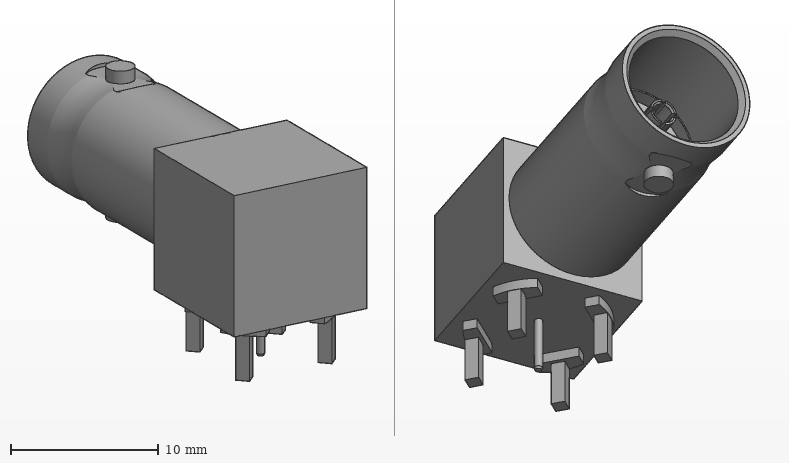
import cadquery as cq
import math

TOTAL_LENGTH = 27.9

HOUSING_SIZE = 10.51
HOUSING_TOP = 4.82
HOUSING_BOTTOM = -5.45
HOUSING_FRONT = TOTAL_LENGTH - HOUSING_SIZE
HOUSING_CENTER_X = TOTAL_LENGTH - HOUSING_SIZE / 2

BARREL_RADIUS = 4.82
MOUTH_RADIUS = 4.5
MOUTH_CHAMFER_LENGTH = 0.4
BORE_RADIUS = 4.13
BORE_LEDGE_X = 7.25
INNER_BORE_RADIUS = 4.02
BORE_FLOOR_X = 8.37

LUG_X = 4.2
LUG_RADIUS = 1.0
LUG_REACH = 5.5
GROOVE_WIDTH = 3.3
GROOVE_DEPTH = 0.17
SEAT_RADIUS = 2.55
SEAT_HEIGHT = 4.57

CONTACT_TIP_X = 3.45
CONTACT_RADIUS = 0.98
SOCKET_RADIUS = 0.7
SOCKET_MOUTH_RADIUS = 0.85
SOCKET_CHAMFER_LENGTH = SOCKET_MOUTH_RADIUS - SOCKET_RADIUS
SOCKET_DEPTH = 3.35
SOCKET_CONE_DEPTH = 0.4
SLOT_WIDTH = 0.3
SLOT_DEPTH = 2.23

PIN_TIP_Z = -9.48
PIN_LENGTH = HOUSING_BOTTOM - PIN_TIP_Z
LEG_OFFSET = 3.25
LEG_SIDE = 0.98
FOOT_WIDTH = 3.18
FOOT_TAIL = 0.75
FOOT_OUTER_RADIUS = 5.13
FOOT_HEIGHT = 0.75
SIGNAL_PIN_RADIUS = 0.59 / 2
SIGNAL_TIP_RADIUS = 0.22
SIGNAL_TIP_LENGTH = 0.17

AXIS_START = (0, 0, 0)
AXIS_END = (1, 0, 0)


def make_housing():
    height = HOUSING_TOP - HOUSING_BOTTOM
    return (
        cq.Workplane("XY", origin=(HOUSING_CENTER_X, 0, HOUSING_BOTTOM))
        .rect(HOUSING_SIZE, HOUSING_SIZE)
        .extrude(height)
    )


def make_barrel():
    """Solid barrel with a shallow arc-shaped groove around the lugs."""
    profile = (
        cq.Workplane("XY")
        .lineTo(0, BARREL_RADIUS)
        .lineTo(LUG_X - GROOVE_WIDTH / 2, BARREL_RADIUS)
        .threePointArc(
            (LUG_X, BARREL_RADIUS - GROOVE_DEPTH),
            (LUG_X + GROOVE_WIDTH / 2, BARREL_RADIUS),
        )
        .lineTo(HOUSING_FRONT, BARREL_RADIUS)
        .lineTo(HOUSING_FRONT, 0)
        .close()
    )
    return profile.revolve(360, AXIS_START, AXIS_END)


def make_bore():
    """Cutter for the chamfered, stepped socket bore."""
    profile = cq.Workplane("XY").polyline([
        (0, 0),
        (0, MOUTH_RADIUS),
        (MOUTH_CHAMFER_LENGTH, BORE_RADIUS),
        (BORE_LEDGE_X, BORE_RADIUS),
        (BORE_LEDGE_X, INNER_BORE_RADIUS),
        (BORE_FLOOR_X, INNER_BORE_RADIUS),
        (BORE_FLOOR_X, 0),
    ]).close()
    return profile.revolve(360, AXIS_START, AXIS_END)


def make_seat_cutter():
    """Disc that mills the flat seat around the upper lug."""
    return (
        cq.Workplane("XY", origin=(LUG_X, 0, SEAT_HEIGHT))
        .circle(SEAT_RADIUS)
        .extrude(BARREL_RADIUS - SEAT_HEIGHT)
    )


def make_lug():
    """Upper lug, rooted inside the barrel wall."""
    root_z = (BORE_RADIUS + SEAT_HEIGHT) / 2
    return (
        cq.Workplane("XY", origin=(LUG_X, 0, root_z))
        .circle(LUG_RADIUS)
        .extrude(LUG_REACH - root_z)
    )


def make_contact():
    """Hollow contact standing on the bore floor, split by two crossed slots."""
    socket_end = CONTACT_TIP_X + SOCKET_DEPTH
    profile = cq.Workplane("XY").polyline([
        (CONTACT_TIP_X, CONTACT_RADIUS),
        (BORE_FLOOR_X, CONTACT_RADIUS),
        (BORE_FLOOR_X, 0),
        (socket_end + SOCKET_CONE_DEPTH, 0),
        (socket_end, SOCKET_RADIUS),
        (CONTACT_TIP_X + SOCKET_CHAMFER_LENGTH, SOCKET_RADIUS),
        (CONTACT_TIP_X, SOCKET_MOUTH_RADIUS),
    ]).close()
    contact = profile.revolve(360, AXIS_START, AXIS_END)
    slot_span = 2 * CONTACT_RADIUS
    tip = cq.Workplane("YZ", origin=(CONTACT_TIP_X, 0, 0))
    for width_y, width_z in [(slot_span, SLOT_WIDTH), (SLOT_WIDTH, slot_span)]:
        contact = contact.cut(tip.rect(width_y, width_z).extrude(SLOT_DEPTH))
    return contact


def make_leg(angle):
    """Square leg on a foot whose outer edge is an arc about the housing centre."""
    leg_distance = LEG_OFFSET * math.sqrt(2)
    tail_x = leg_distance - FOOT_TAIL
    half_width = FOOT_WIDTH / 2
    corner_x = math.sqrt(FOOT_OUTER_RADIUS**2 - half_width**2)
    foot = (
        cq.Workplane("XY")
        .moveTo(tail_x, -half_width)
        .lineTo(corner_x, -half_width)
        .threePointArc((FOOT_OUTER_RADIUS, 0), (corner_x, half_width))
        .lineTo(tail_x, half_width)
        .close()
        .extrude(-FOOT_HEIGHT)
    )
    post = (
        cq.Workplane("XY", origin=(leg_distance, 0, 0))
        .rect(LEG_SIDE, LEG_SIDE)
        .extrude(-PIN_LENGTH)
    )
    return (
        foot.union(post)
        .rotate((0, 0, 0), (0, 0, 1), angle)
        .translate((HOUSING_CENTER_X, 0, HOUSING_BOTTOM))
    )


def make_signal_pin():
    """Round pin with a chamfered tip under the centre of the housing."""
    profile = cq.Workplane("XZ", origin=(HOUSING_CENTER_X, 0, 0)).polyline([
        (0, HOUSING_BOTTOM),
        (SIGNAL_PIN_RADIUS, HOUSING_BOTTOM),
        (SIGNAL_PIN_RADIUS, PIN_TIP_Z + SIGNAL_TIP_LENGTH),
        (SIGNAL_TIP_RADIUS, PIN_TIP_Z),
        (0, PIN_TIP_Z),
    ]).close()
    return profile.revolve(360, (0, 0, 0), (0, 1, 0))


barrel = make_barrel().cut(make_bore())
for seat_side in (0, 180):
    barrel = barrel.cut(make_seat_cutter().rotate(AXIS_START, AXIS_END, seat_side))
    barrel = barrel.union(make_lug().rotate(AXIS_START, AXIS_END, seat_side))

result = barrel.union(make_contact()).union(make_housing()).union(make_signal_pin())
for leg_angle in (45, 135, 225, 315):
    result = result.union(make_leg(leg_angle))